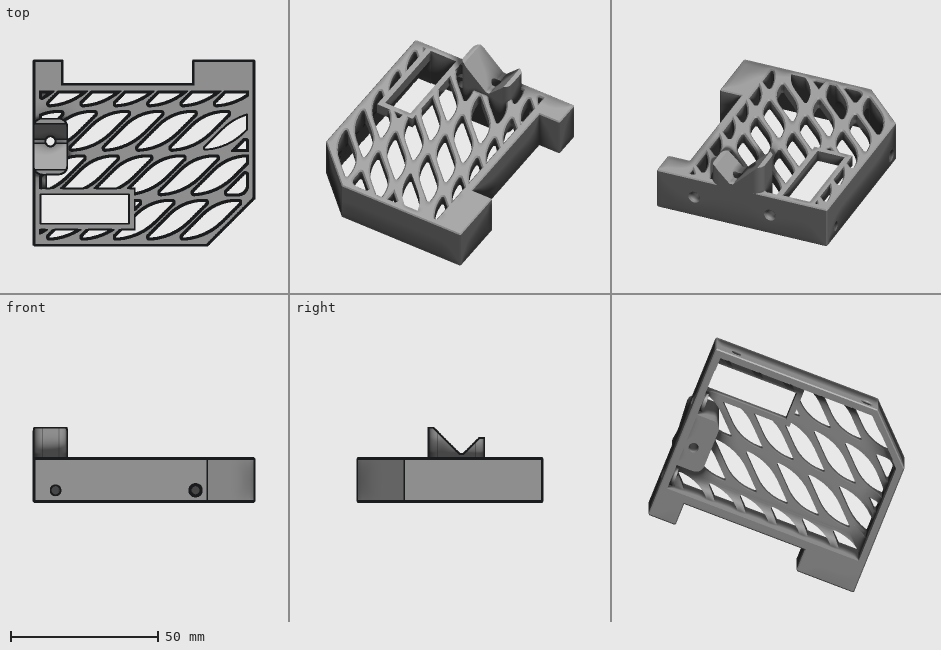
import cadquery as cq
import math

LENGTH = 75.0
WIDTH = 63.0
HEIGHT = 15.0
CORNER_CUT = 16.0
NOTCH_START = 10.0
NOTCH_END = 54.0
NOTCH_DEPTH = 8.0
EDGE_CHAMFER = 0.4

PLATE = 4.0
WALL = 2.6
BACK_WALL = 3.05
ROOF_FILLET = 5.0
PLATE_BOTTOM = HEIGHT - PLATE
INNER_RIGHT = LENGTH - WALL
INNER_BACK = WIDTH - NOTCH_DEPTH - BACK_WALL

LEAF_WIDTH = 6.0
STRUT = 2.0
LEAF_HEIGHT = 12.75
LEAF_SIDE = LEAF_WIDTH * math.sqrt(2)
LEAF_TURN = math.pi / 4
LEAF_LOWER_RADIUS = LEAF_SIDE / math.tan(LEAF_TURN / 2)
LEAF_UPPER_RADIUS = 16.0
TIP_RADIUS = 0.5
LEAF_CHAMFER = 0.5
LEAF_PITCH = (LEAF_WIDTH + STRUT) * math.sqrt(2)
ROW_PITCH = LEAF_PITCH * 4 / 3
ROW_SHIFT = LEAF_PITCH / 3
ROW_COUNT = 4
LEAF_PLACES = range(-2, 5)
FIRST_TIP_X = 4.3
FIRST_TIP_Y = 2.4

PLAIN_LEAF = (2, 4)
PLAIN_UPPER_RADIUS = 20.0
PLAIN_RELIEF = 1.0
BACK_CORNER_LEAF = (3, -2)
BACK_CORNER_RADIUS = 0.3
TRIANGLE_PLACE = 5
LARGE_TRIANGLE_ROW = 1
SMALL_TRIANGLE_ROW = 2
TRIANGLE_CORNER_RADIUS = 3.0

WINDOW_LENGTH = 30.0
WINDOW_WIDTH = 10.0
WINDOW_X = 2.4
WINDOW_Y = 7.45
FRAME = 2.0

BLOCK_LENGTH = 11.5
BLOCK_WIDTH = 19.0
BLOCK_Y = 24.15
BLOCK_TOP = 25.25
BLOCK_LOW_TOP = 21.75
BLOCK_RADIUS = 3.0
V_FLOOR = 16.35
V_FLOOR_WIDTH = 1.3
V_CENTER_Y = 35.4
V_HOLE = 3.4

THREAD_HOLE = 3.3
CLEAR_HOLE = 3.4
HOLE_CHAMFER = 0.5
SIDE_HOLE_Z = 7.5
SIDE_HOLES_Y = (21.1, 49.1)
FRONT_HOLE_Z = 4.0
FRONT_CLEAR_X = 7.5
FRONT_THREAD_X = 55.0
PAD_DEPTH = 1.8
PAD_DIAMETER = 6.4


def make_box(x, y, z, length, width, height):
    return cq.Workplane("XY").box(length, width, height, centered=False).translate((x, y, z))


def make_housing():
    back_of_notch = WIDTH - NOTCH_DEPTH
    outline = [
        (0, 0),
        (LENGTH - CORNER_CUT, 0),
        (LENGTH, CORNER_CUT),
        (LENGTH, WIDTH),
        (NOTCH_END, WIDTH),
        (NOTCH_END, back_of_notch),
        (NOTCH_START, back_of_notch),
        (NOTCH_START, WIDTH),
        (0, WIDTH),
    ]
    body = cq.Workplane("XY").polyline(outline).close().extrude(HEIGHT)
    body = body.edges("|Z").edges("<X or >Y").chamfer(EDGE_CHAMFER)
    return body.faces("<Z or >Z").edges().chamfer(EDGE_CHAMFER)


def make_cavity():
    """Space inside the walls; its roof is rounded along the straight walls, not along the diagonal."""
    diagonal = LENGTH - CORNER_CUT - WALL * math.sqrt(2)
    outline = [
        (WALL, WALL),
        (WALL + diagonal, WALL),
        (INNER_RIGHT, INNER_RIGHT - diagonal),
        (INNER_RIGHT, INNER_BACK),
        (WALL, INNER_BACK),
    ]
    cavity = cq.Workplane("XY").polyline(outline).close().extrude(PLATE_BOTTOM)
    return cavity.faces(">Z").edges("|X or |Y").fillet(ROOF_FILLET)


def tip_position(row, place):
    """Lower left tip of a leaf."""
    x = FIRST_TIP_X + row * ROW_SHIFT + place * LEAF_PITCH
    y = FIRST_TIP_Y + row * ROW_PITCH
    return x, y


def edges_near(x, y):
    reach = 2 * TIP_RADIUS
    return cq.selectors.BoxSelector((x - reach, y - reach, -reach), (x + reach, y + reach, HEIGHT + reach))


def make_leaf(x, y, upper_radius):
    """Leaning parallelogram with rounded acute tips and wide arcs in place of its obtuse corners."""
    top_x = x + LEAF_HEIGHT + LEAF_SIDE
    top_y = y + LEAF_HEIGHT
    half_turn = LEAF_TURN / 2

    flat = LEAF_SIDE - upper_radius * math.tan(half_turn)
    arc_end_x = top_x - flat
    arc_drop = upper_radius * (1 - math.cos(LEAF_TURN))
    arc_start = (top_x - LEAF_SIDE - arc_drop, top_y - arc_drop)
    arc_middle = (
        arc_end_x - upper_radius * math.sin(half_turn),
        top_y - upper_radius * (1 - math.cos(half_turn)),
    )

    lower_arc_start = (x + LEAF_SIDE + LEAF_WIDTH, y + LEAF_WIDTH)
    lower_arc_middle = (
        x + LEAF_LOWER_RADIUS * math.sin(half_turn),
        y + LEAF_LOWER_RADIUS * (1 - math.cos(half_turn)),
    )
    leaf = (
        cq.Workplane("XY")
        .moveTo(x, y)
        .lineTo(*arc_start)
        .threePointArc(arc_middle, (arc_end_x, top_y))
        .lineTo(top_x, top_y)
        .lineTo(*lower_arc_start)
        .threePointArc(lower_arc_middle, (x, y))
        .close()
        .extrude(HEIGHT)
    )
    tips = edges_near(x, y) + edges_near(top_x, top_y)
    return leaf.edges("|Z").edges(tips).fillet(TIP_RADIUS)


def make_triangle(row):
    """Triangular opening between the last leaf of a row and the right wall."""
    x, y = tip_position(row, TRIANGLE_PLACE)
    leg = INNER_RIGHT - x
    outline = [(x, y), (x + leg, y), (x + leg, y + leg)]
    return cq.Workplane("XY").polyline(outline).close().extrude(HEIGHT)


def chamfer_tools(opening):
    """Solids to remove for an opening and the chamfer around its top."""
    rim = opening.faces(">Z").wires().val()
    wide_rim = rim.offset2D(LEAF_CHAMFER, "intersection")[0]
    narrow_rim = rim.moved(cq.Location((0, 0, -LEAF_CHAMFER)))
    flare = cq.Solid.makeLoft([narrow_rim, wide_rim], True)
    return [opening.val(), flare]


def plain_leaf_tools(limits):
    leaf = make_leaf(*tip_position(*PLAIN_LEAF), PLAIN_UPPER_RADIUS).intersect(limits)
    wide_rim = leaf.faces("<Z").wires().val().offset2D(PLAIN_RELIEF)[0]
    relief = cq.Solid.extrudeLinear(wide_rim, [], cq.Vector(0, 0, PLATE_BOTTOM))
    return [leaf.val(), cq.Workplane(relief).intersect(limits).val()]


def triangle_tools():
    small = make_triangle(SMALL_TRIANGLE_ROW)
    small = small.edges("|Z").edges(">Y").fillet(TIP_RADIUS)
    large = make_triangle(LARGE_TRIANGLE_ROW)
    large = large.edges("|Z").edges(">X and <Y").fillet(TRIANGLE_CORNER_RADIUS)
    large = large.edges("|Z").edges("<X or >Y").fillet(TIP_RADIUS)
    return chamfer_tools(small) + chamfer_tools(large)


def cut_lattice(body):
    limits = make_box(WALL, 0, 0, LENGTH - 2 * WALL, INNER_BACK, HEIGHT)
    tools = plain_leaf_tools(limits) + triangle_tools()
    for row in range(ROW_COUNT):
        for place in LEAF_PLACES:
            if (row, place) == PLAIN_LEAF:
                continue
            opening = make_leaf(*tip_position(row, place), LEAF_UPPER_RADIUS).intersect(limits)
            if (row, place) == BACK_CORNER_LEAF:
                opening = opening.edges("|Z").edges("<Y").fillet(BACK_CORNER_RADIUS)
            if opening.solids().size() > 0:
                tools += chamfer_tools(opening)
    return cq.Workplane(body.val().cut(*tools))


def add_window(body):
    """Framed window; the frame fills the leaves around it and merges into the left wall."""
    frame = make_box(
        WINDOW_X - FRAME,
        WINDOW_Y - FRAME,
        PLATE_BOTTOM,
        WINDOW_LENGTH + 2 * FRAME,
        WINDOW_WIDTH + 2 * FRAME,
        PLATE,
    )
    window = make_box(WINDOW_X, WINDOW_Y, 0, WINDOW_LENGTH, WINDOW_WIDTH, HEIGHT)
    frame = frame.intersect(make_box(WALL / 2, 0, 0, LENGTH, WIDTH, HEIGHT))
    return body.union(frame).cut(window)


def add_v_block(body):
    """Block with a 45 degree V groove along X, standing on the lower edge chamfer's height."""
    block = make_box(0, BLOCK_Y, EDGE_CHAMFER, BLOCK_LENGTH, BLOCK_WIDTH, BLOCK_TOP - EDGE_CHAMFER)
    block = block.edges("|Z").fillet(BLOCK_RADIUS)
    floor_front = V_CENTER_Y - V_FLOOR_WIDTH / 2
    floor_back = V_CENTER_Y + V_FLOOR_WIDTH / 2
    block_back = BLOCK_Y + BLOCK_WIDTH
    profile = [
        (floor_front, V_FLOOR),
        (floor_back, V_FLOOR),
        (floor_back + BLOCK_LOW_TOP - V_FLOOR, BLOCK_LOW_TOP),
        (block_back, BLOCK_LOW_TOP),
        (block_back, BLOCK_TOP),
        (floor_front - (BLOCK_TOP - V_FLOOR), BLOCK_TOP),
    ]
    groove = cq.Workplane("YZ").polyline(profile).close().extrude(BLOCK_LENGTH)
    hole = cq.Workplane("XY").center(BLOCK_LENGTH / 2, V_CENTER_Y).circle(V_HOLE / 2).extrude(BLOCK_TOP)
    return body.union(block.cut(groove)).cut(hole)


def make_rod(start, direction, diameter, length):
    rod = cq.Solid.makeCylinder(diameter / 2, length, cq.Vector(*start), cq.Vector(*direction))
    return cq.Workplane(rod)


def make_thread_hole(start, direction, length):
    """Hole for a thread, with a chamfered mouth."""
    mouth_radius = THREAD_HOLE / 2 + HOLE_CHAMFER
    mouth = cq.Solid.makeCone(
        mouth_radius, THREAD_HOLE / 2, HOLE_CHAMFER, cq.Vector(*start), cq.Vector(*direction)
    )
    return make_rod(start, direction, THREAD_HOLE, length).union(cq.Workplane(mouth))


def add_side_holes(body):
    """Threaded holes through the left wall, each with a round pad inside."""
    along_x = (1, 0, 0)
    for y in SIDE_HOLES_Y:
        pad = make_rod((WALL, y, SIDE_HOLE_Z), along_x, PAD_DIAMETER, PAD_DEPTH)
        hole = make_thread_hole((0, y, SIDE_HOLE_Z), along_x, WALL + PAD_DEPTH)
        body = body.union(pad).cut(hole)
    return body


def cut_front_holes(body):
    along_y = (0, 1, 0)
    clear_hole = make_rod((FRONT_CLEAR_X, 0, FRONT_HOLE_Z), along_y, CLEAR_HOLE, WALL)
    thread_hole = make_thread_hole((FRONT_THREAD_X, 0, FRONT_HOLE_Z), along_y, WALL)
    return body.cut(clear_hole).cut(thread_hole)


body = make_housing().cut(make_cavity())
body = cut_lattice(body)
body = add_window(body)
body = add_v_block(body)
body = add_side_holes(body)
result = cq.Workplane(cut_front_holes(body).solids().val())